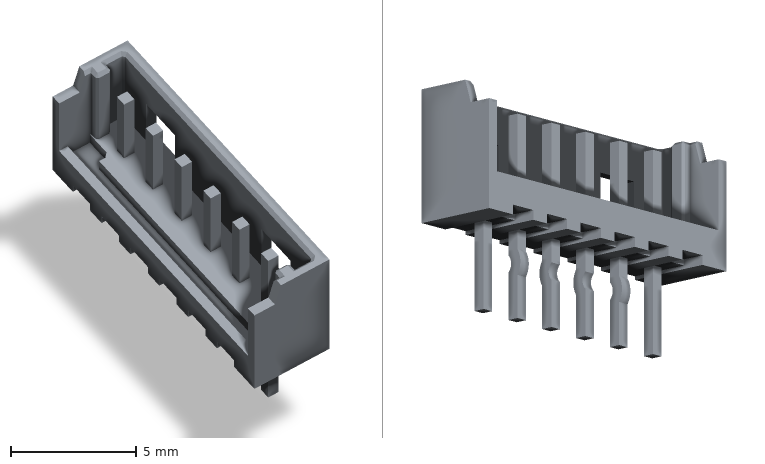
import cadquery as cq
import math


pin_count = 6
pitch = 2.0
pin_width = 0.5
pin_top_z = 4.9
pin_bottom_z = -3.5
pin_xs = [(i - (pin_count - 1) / 2) * pitch for i in range(pin_count)]

bend_directions = [0, 1, -1, -1, 1, 0]
bend_center_z = -1.2
bend_outer_radius = 1.0
bend_inner_radius = bend_outer_radius - pin_width
bend_rise = 0.15

end_margin = 2.0
body_length = (pin_count - 1) * pitch + 2 * end_margin
body_height = 5.5
body_depth = 3.65
back_y = 1.5
front_y = back_y - body_depth
half_length = body_length / 2

side_wall = 0.45
back_wall = 0.5
front_lip = 0.42
floor_z = 1.6
half_cavity = half_length - side_wall
cavity_back_y = back_y - back_wall
cavity_corner = 0.1
rim_chamfer = 0.15

rib_back_y = 0.12
rib_front_y = -0.6
rib_reach = 0.4
rib_chamfer = 0.1
rib_tip_x = half_cavity - rib_reach

channel_floor_z = 1.1
channel_back_y = -0.65
channel_step_y = -1.15
channel_end_length = 1.35
channel_corner = 0.2

corner_z = 4.52
slope_top_y = -0.85
slope_bottom_y = -1.15

window_top_z = 3.85

relief_width = 1.2
relief_height = 0.15
front_notch_height = 0.4
front_notch_depth = 1.0


def block(x_min, x_max, y_min, y_max, z_min, z_max):
    """Axis-aligned box given by its limits."""
    size = (x_max - x_min, y_max - y_min, z_max - z_min)
    return cq.Workplane("XY").box(*size, centered=False).translate((x_min, y_min, z_min))


def mirrored_prism(right_side, z_min, z_max):
    """Prism whose plan is symmetric about X = 0; right_side lists its +X half."""
    left_side = [(-x, y) for x, y in reversed(right_side)]
    outline = cq.Workplane("XY").workplane(offset=z_min).polyline(right_side + left_side)
    return outline.close().extrude(z_max - z_min)


def shroud():
    """Outer block with the ribbed cavity, open at the front, and its chamfered rim."""
    body = block(-half_length, half_length, front_y, back_y, 0, body_height)
    cavity = mirrored_prism(
        [
            (half_cavity, front_y),
            (half_cavity, rib_front_y),
            (rib_tip_x + rib_chamfer, rib_front_y),
            (rib_tip_x, rib_front_y + rib_chamfer),
            (rib_tip_x, rib_back_y - rib_chamfer),
            (rib_tip_x + rib_chamfer, rib_back_y),
            (half_cavity, rib_back_y),
            (half_cavity, cavity_back_y - cavity_corner),
            (half_cavity - cavity_corner, cavity_back_y),
        ],
        floor_z,
        body_height,
    )
    margin = side_wall / 2
    rim_edges = cq.selectors.BoxSelector(
        (-half_length + margin, front_y + margin, body_height - margin),
        (half_length - margin, back_y - margin, body_height + margin),
    )
    return body.cut(cavity).edges(rim_edges).chamfer(rim_chamfer)


def channel():
    """Sunken floor behind the front lip, wider toward the back at both ends."""
    inner_x = half_cavity - channel_end_length
    return mirrored_prism(
        [
            (half_cavity, front_y + front_lip),
            (half_cavity, channel_back_y),
            (inner_x + channel_corner, channel_back_y),
            (inner_x, channel_back_y - channel_corner),
            (inner_x, channel_step_y),
        ],
        channel_floor_z,
        floor_z,
    )


def corner_step():
    """Material above the lowered, sloped front corners of both end walls."""
    profile = [
        (slope_top_y, body_height),
        (slope_bottom_y, corner_z),
        (front_y, corner_z),
        (front_y, body_height),
    ]
    return cq.Workplane("YZ").polyline(profile).close().extrude(half_length, both=True)


def window(x_first, x_second):
    """Opening through the back wall between two neighbouring pins."""
    return block(x_first, x_second, cavity_back_y, back_y, floor_z, window_top_z)


def relief(x):
    """Shallow groove under a pin, with a taller notch at the front."""
    x_min = x - relief_width / 2
    x_max = x + relief_width / 2
    groove = block(x_min, x_max, front_y, back_y, 0, relief_height)
    notch = block(x_min, x_max, front_y, front_y + front_notch_depth, 0, front_notch_height)
    return groove.union(notch)


def pin(x, bend):
    """Square pin; a bent one follows two concentric arcs in the YZ plane."""
    half = pin_width / 2
    if bend == 0:
        return block(x - half, x + half, -half, half, pin_bottom_z, pin_top_z)
    outer_y = -bend * half
    inner_y = bend * half
    arc_center_offset = bend_outer_radius - bend_rise
    outer_half_chord = math.sqrt(bend_outer_radius**2 - arc_center_offset**2)
    inner_offset = arc_center_offset - pin_width
    inner_half_chord = math.sqrt(bend_inner_radius**2 - inner_offset**2)
    outer_crest_y = outer_y - bend * bend_rise
    inner_crest_y = inner_y - bend * bend_rise
    profile = (
        cq.Workplane("YZ")
        .moveTo(outer_y, pin_top_z)
        .lineTo(outer_y, bend_center_z + outer_half_chord)
        .threePointArc((outer_crest_y, bend_center_z), (outer_y, bend_center_z - outer_half_chord))
        .lineTo(outer_y, pin_bottom_z)
        .lineTo(inner_y, pin_bottom_z)
        .lineTo(inner_y, bend_center_z - inner_half_chord)
        .threePointArc((inner_crest_y, bend_center_z), (inner_y, bend_center_z + inner_half_chord))
        .lineTo(inner_y, pin_top_z)
        .close()
    )
    return profile.extrude(half, both=True).translate((x, 0, 0))


housing = shroud().cut(channel()).cut(corner_step())
housing = housing.cut(window(pin_xs[0], pin_xs[1]))
housing = housing.cut(window(pin_xs[-2], pin_xs[-1]))
for pin_x in pin_xs:
    housing = housing.cut(relief(pin_x))

result = housing
for pin_x, direction in zip(pin_xs, bend_directions):
    result = result.union(pin(pin_x, direction))